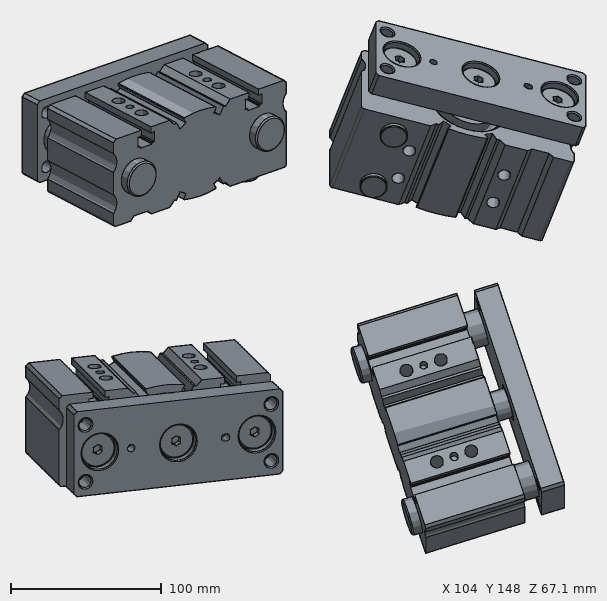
import cadquery as cq
import math


PLATE_LENGTH = 16.0
PLATE_WIDTH = 146.0
PLATE_HEIGHT = 59.8
PLATE_CHAMFER = 2.0
CORNER_HOLE_DIAMETER = 8.5
CORNER_HOLE_CHAMFER = 0.9
CORNER_HOLE_Y = 65.0
CORNER_HOLE_Z = 20.0

HOUSING_START = 28.0
HOUSING_LENGTH = 69.0
HOUSING_WIDTH = 148.0
HOUSING_HEIGHT = 64.0
TOP_CHAMFER = 2.0
BOTTOM_FILLET = 2.0
HALF_WIDTH = HOUSING_WIDTH / 2
TOP = HOUSING_HEIGHT / 2
BOTTOM = -TOP

GUIDE_DIAMETER = 24.9
GUIDE_Y = 54.9
GUIDE_END = 104.0
PISTON_DIAMETER = 20.1
PISTON_END = 88.8
ROD_Y = (-GUIDE_Y, 0, GUIDE_Y)
END_RECESS = 4.5
ROD_END_CHAMFER = 1.0
BORE_CHAMFER = 0.7
SOCKET_FLATS = 6.0
SOCKET_DEPTH = 4.5

BORE_MOUTH_DIAMETER = 51.5
BORE_MOUTH_DEPTH = 2.2
COVER_DIAMETER = 47.4
COVER_RECESS = 8.6
COVER_THICKNESS = 8.9
COVER_BOSS_DIAMETER = 36.1
COVER_FILLET = 1.3
COVER_START = HOUSING_START + COVER_RECESS

DOWEL_DIAMETER = 5.0
DOWEL_SLOT_LENGTH = 5.8
DOWEL_DEPTH = 8.9
DOWEL_Y = 33.0

MOUNT_DIAMETER = 8.5
MOUNT_X = (52.1, 76.0)
HOUSING_DOWEL_X = sum(MOUNT_X) / 2

SLOT_Y = 46.0
SLOT_MOUTH = 8.3
SLOT_LIP = 4.5
SLOT_WIDTH = 14.0
SLOT_SHELF_DEPTH = 11.5
SLOT_SHELF_CHAMFER = 0.5
SLOT_CHANNEL = 10.0
SLOT_DEPTH = 12.9

RIDGE_HEIGHT = 31.4
RIDGE_EDGE = (13.3, 30.0)
SENSOR_GROOVE = [(13.9, 29.5), (12.0, 26.0), (17.0, 23.1), (20.1, 28.4), (21.9, 28.0)]
LAND_EDGE_Y = 25.9

UNDER_GROOVE_Y = (-59.5, -41.6)
UNDER_GROOVE_DEPTH = 3.0

CHANNELS = [(1, 1), (-1, 1), (-1, -1)]
CHANNEL_NEAR_Z = 8.3
CHANNEL_FAR_Z = 21.9
CHANNEL_DEPTH = 2.8

PORT_DIAMETER = 18.0
PORT_HEIGHT = 3.1
PORT_CHAMFER = 0.6
PORT_X = (42.0, 86.0)
PORT_Y = 47.0


def rod_x(start, end, diameter, y=0):
    """Cylinder along X."""
    return cq.Workplane("YZ", origin=(start, y, 0)).circle(diameter / 2).extrude(end - start)


def housing_section():
    """Sketch plane on the housing's front face."""
    return cq.Workplane("YZ", origin=(HOUSING_START, 0, 0))


def plate_hole(y, z, diameter, chamfer):
    """Cutter for a hole through the plate with a chamfered mouth."""
    radius = diameter / 2
    mouth = cq.Solid.makeCone(radius + chamfer, radius, chamfer, cq.Vector(0, y, z), cq.Vector(1, 0, 0))
    return cq.Workplane("YZ", origin=(0, y, z)).circle(radius).extrude(PLATE_LENGTH).union(mouth)


def make_plate():
    plate = cq.Workplane("YZ").rect(PLATE_WIDTH, PLATE_HEIGHT).extrude(PLATE_LENGTH)
    plate = plate.edges("|X").chamfer(PLATE_CHAMFER)
    for y in ROD_Y:
        plate = plate.cut(plate_hole(y, 0, GUIDE_DIAMETER, BORE_CHAMFER))
    for y in (-CORNER_HOLE_Y, CORNER_HOLE_Y):
        for z in (-CORNER_HOLE_Z, CORNER_HOLE_Z):
            plate = plate.cut(plate_hole(y, z, CORNER_HOLE_DIAMETER, CORNER_HOLE_CHAMFER))
    front = cq.Workplane("YZ")
    plate = plate.cut(front.center(DOWEL_Y, 0).circle(DOWEL_DIAMETER / 2).extrude(DOWEL_DEPTH))
    return plate.cut(front.center(-DOWEL_Y, 0).slot2D(DOWEL_SLOT_LENGTH, DOWEL_DIAMETER).extrude(DOWEL_DEPTH))


def t_slot(y):
    half_channel = SLOT_CHANNEL / 2
    half_profile = [
        (SLOT_MOUTH / 2, TOP),
        (SLOT_MOUTH / 2, TOP - SLOT_LIP),
        (SLOT_WIDTH / 2, TOP - SLOT_LIP),
        (SLOT_WIDTH / 2, TOP - SLOT_SHELF_DEPTH),
        (half_channel + SLOT_SHELF_CHAMFER, TOP - SLOT_SHELF_DEPTH),
        (half_channel, TOP - SLOT_SHELF_DEPTH - SLOT_SHELF_CHAMFER),
        (half_channel, TOP - SLOT_DEPTH),
    ]
    right = [(y + offset, z) for offset, z in half_profile]
    left = [(y - offset, z) for offset, z in reversed(half_profile)]
    return housing_section().polyline(right + left).close().extrude(HOUSING_LENGTH)


def ridge_surround(side):
    """Cutter that leaves the ridge and its sensor grooves on the top (side 1) or the bottom (side -1)."""
    right = [(y, side * z) for y, z in [RIDGE_EDGE] + SENSOR_GROOVE] + [(LAND_EDGE_Y, side * TOP)]
    left = [(-y, z) for y, z in reversed(right)]
    profile = housing_section().polyline(left).threePointArc((0, side * RIDGE_HEIGHT), right[0])
    return profile.polyline(right[1:], includeCurrent=True).close().extrude(HOUSING_LENGTH)


def under_groove():
    first, last = UNDER_GROOVE_Y
    floor = BOTTOM + UNDER_GROOVE_DEPTH
    points = [
        (first, BOTTOM),
        (first + UNDER_GROOVE_DEPTH, floor),
        (last - UNDER_GROOVE_DEPTH, floor),
        (last, BOTTOM),
    ]
    return housing_section().polyline(points).close().extrude(HOUSING_LENGTH)


def side_channel(side_y, side_z):
    wall = side_y * HALF_WIDTH
    deepest = (side_y * (HALF_WIDTH - CHANNEL_DEPTH), side_z * (CHANNEL_NEAR_Z + CHANNEL_FAR_Z) / 2)
    profile = housing_section().moveTo(wall, side_z * CHANNEL_NEAR_Z)
    profile = profile.threePointArc(deepest, (wall, side_z * CHANNEL_FAR_Z)).close()
    return profile.extrude(HOUSING_LENGTH)


def housing_profile():
    """The extruded block with its slots, grooves and channels."""
    block = housing_section().rect(HOUSING_WIDTH, HOUSING_HEIGHT).extrude(HOUSING_LENGTH)
    block = block.edges("|X and >Z").chamfer(TOP_CHAMFER)
    block = block.edges("|X and <Z").fillet(BOTTOM_FILLET)
    for y in (-SLOT_Y, SLOT_Y):
        block = block.cut(t_slot(y))
    for side in (1, -1):
        block = block.cut(ridge_surround(side))
    for side_y, side_z in CHANNELS:
        block = block.cut(side_channel(side_y, side_z))
    return block.cut(under_groove())


def top_holes():
    """Cutters for the mounting holes and the dowel holes between them."""
    mounts = [(x, y) for x in MOUNT_X for y in (-DOWEL_Y, DOWEL_Y)]
    top = cq.Workplane("XY", origin=(0, 0, TOP))
    mount_cutters = top.pushPoints(mounts).circle(MOUNT_DIAMETER / 2).extrude(-HOUSING_HEIGHT)
    round_dowel = top.center(HOUSING_DOWEL_X, -DOWEL_Y).circle(DOWEL_DIAMETER / 2).extrude(-DOWEL_DEPTH)
    slotted_dowel = top.center(HOUSING_DOWEL_X, DOWEL_Y).slot2D(DOWEL_SLOT_LENGTH, DOWEL_DIAMETER, 90)
    return [mount_cutters, round_dowel, slotted_dowel.extrude(-DOWEL_DEPTH)]


def rod_bores():
    """Cutters for the guide bores and the stepped piston bore."""
    housing_end = HOUSING_START + HOUSING_LENGTH
    bores = [rod_x(HOUSING_START, housing_end, GUIDE_DIAMETER, y) for y in (-GUIDE_Y, GUIDE_Y)]
    bores.append(rod_x(HOUSING_START, HOUSING_START + BORE_MOUTH_DEPTH, BORE_MOUTH_DIAMETER))
    bores.append(rod_x(HOUSING_START, COVER_START + COVER_THICKNESS, COVER_DIAMETER))
    bores.append(rod_x(HOUSING_START, PISTON_END, PISTON_DIAMETER))
    return bores


def port_boss(x):
    boss = cq.Workplane("XY", origin=(x, PORT_Y, BOTTOM)).circle(PORT_DIAMETER / 2).extrude(-PORT_HEIGHT)
    return boss.faces("<Z").chamfer(PORT_CHAMFER)


def make_housing():
    housing = housing_profile()
    for cutter in top_holes() + rod_bores():
        housing = housing.cut(cutter)
    for x in PORT_X:
        housing = housing.union(port_boss(x))
    return housing


def hex_socket(y):
    """Cutter for the hexagon socket in a rod's front end, two corners pointing along Z."""
    corner_diameter = SOCKET_FLATS / math.cos(math.pi / 6)
    plane = cq.Workplane("YZ", origin=(END_RECESS, y, 0)).transformed(rotate=(0, 0, 90))
    return plane.polygon(6, corner_diameter).extrude(SOCKET_DEPTH)


def make_guide_rod(y):
    rod = rod_x(END_RECESS, GUIDE_END, GUIDE_DIAMETER, y)
    rod = rod.faces("<X or >X").chamfer(ROD_END_CHAMFER)
    return rod.cut(hex_socket(y))


def make_piston_rod():
    """Rod with a wider head, as wide as a guide rod, inside the plate."""
    head = rod_x(END_RECESS, PLATE_LENGTH, GUIDE_DIAMETER).faces("<X").chamfer(ROD_END_CHAMFER)
    rod = head.union(rod_x(PLATE_LENGTH, PISTON_END, PISTON_DIAMETER))
    return rod.cut(hex_socket(0))


def make_rod_cover():
    """Ring round the piston rod, with a boss that rises from a filleted root to the housing's face."""
    bore_radius = PISTON_DIAMETER / 2
    flange_radius = COVER_DIAMETER / 2
    boss_radius = COVER_BOSS_DIAMETER / 2
    cover_end = COVER_START + COVER_THICKNESS
    fillet_centre = (COVER_START - COVER_FILLET, boss_radius + COVER_FILLET)
    fillet_middle = (
        fillet_centre[0] + COVER_FILLET * math.sqrt(0.5),
        fillet_centre[1] - COVER_FILLET * math.sqrt(0.5),
    )
    half_section = (
        cq.Workplane("XY")
        .moveTo(HOUSING_START, bore_radius)
        .lineTo(HOUSING_START, boss_radius)
        .lineTo(fillet_centre[0], boss_radius)
        .threePointArc(fillet_middle, (COVER_START, fillet_centre[1]))
        .lineTo(COVER_START, flange_radius)
        .lineTo(cover_end, flange_radius)
        .lineTo(cover_end, bore_radius)
        .close()
    )
    return half_section.revolve(360, (0, 0, 0), (1, 0, 0))


housing = make_housing()
plate = make_plate()
piston_rod = make_piston_rod()
rod_cover = make_rod_cover()
guide_rods = [make_guide_rod(y) for y in (-GUIDE_Y, GUIDE_Y)]

result = cq.Compound.makeCompound([
    housing.val(),
    plate.val(),
    piston_rod.val(),
    rod_cover.val(),
    *[rod.val() for rod in guide_rods],
])